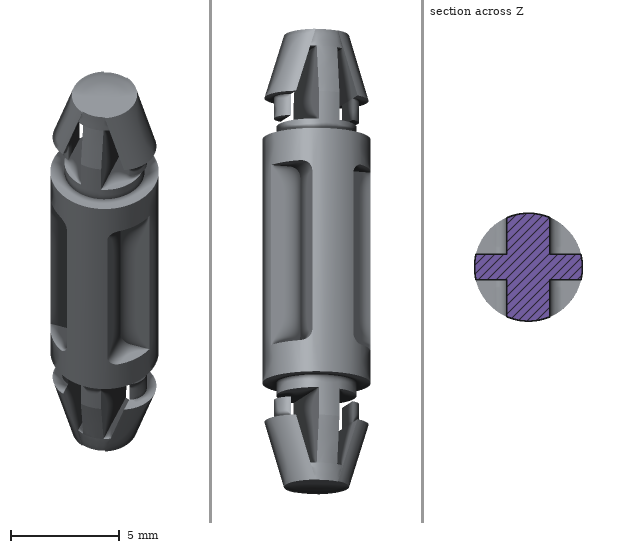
import cadquery as cq


body_diameter = 5.0
body_height = 11.5
pocket_height = 8.5
pocket_corner_radius = 0.5
spine_width_x = 2.0
web_thickness_y = 1.2

collar_diameter = 3.7
collar_height = 0.6
head_tip_diameter = 3.0
head_height = 4.3
barb_height = 3.0
cap_base_diameter = 3.1
cap_height = 0.8
stem_width = 1.0
barb_chord_offset = 0.55
barb_reach = 0.95
barb_width = 2.9

tab_length = 1.0
tab_thickness = 0.53
tab_width = 1.5

body_top = body_height / 2
collar_top = body_top + collar_height
head_tip = collar_top + head_height
barb_foot = head_tip - barb_height
cap_underside = head_tip - cap_height

body_radius = body_diameter / 2
collar_radius = collar_diameter / 2
cap_base_radius = cap_base_diameter / 2
tip_radius = head_tip_diameter / 2


def make_pocket(side_x, side_y):
    """Corner pocket beside the spine and the web, with rounded edges along the spine."""
    pocket = (
        cq.Workplane("XY")
        .box(body_diameter, body_diameter, pocket_height, centered=(False, False, True))
        .edges("|Y and <X")
        .fillet(pocket_corner_radius)
        .translate((spine_width_x / 2, web_thickness_y / 2, 0))
    )
    if side_x < 0:
        pocket = pocket.mirror("YZ")
    if side_y < 0:
        pocket = pocket.mirror("XZ")
    return pocket


def make_body():
    body = cq.Workplane("XY").circle(body_radius).extrude(body_height / 2, both=True)
    for side_x in (-1, 1):
        for side_y in (-1, 1):
            body = body.cut(make_pocket(side_x, side_y))
    return body


def make_core():
    """Collar, flat stem and solid cap, all bounded by one turned outline."""
    turned = (
        cq.Workplane("XZ")
        .moveTo(0, body_top)
        .lineTo(collar_radius, body_top)
        .lineTo(collar_radius, barb_foot)
        .lineTo(cap_base_radius, cap_underside)
        .lineTo(tip_radius, head_tip)
        .lineTo(0, head_tip)
        .close()
        .revolve(360, (0, 0, 0), (0, 1, 0))
    )
    cap_top_half = barb_chord_offset
    cap_bottom_half = barb_chord_offset + barb_reach * cap_height / barb_height
    stem_half = stem_width / 2
    right_side = [
        (collar_radius, body_top),
        (collar_radius, collar_top),
        (stem_half, collar_top),
        (stem_half, cap_underside),
        (cap_bottom_half, cap_underside),
        (cap_top_half, head_tip),
    ]
    left_side = [(-x, z) for x, z in reversed(right_side)]
    front_outline = cq.Workplane("XZ").polyline(right_side + left_side).close()
    return turned.intersect(front_outline.extrude(body_diameter, both=True))


def segment_wire(chord_x, half_chord, crown_x, z):
    """Circular segment with its chord along Y and its crown toward +X."""
    return (
        cq.Workplane("XY", origin=(0, 0, z))
        .moveTo(chord_x, -half_chord)
        .threePointArc((crown_x, 0), (chord_x, half_chord))
        .close()
        .wire()
        .val()
    )


def make_barb():
    """Leaning barb of constant section, with the tab below it, on the +X side."""
    half_chord = barb_width / 2
    foot_chord_x = barb_chord_offset + barb_reach
    foot = segment_wire(foot_chord_x, half_chord, tip_radius + barb_reach, barb_foot)
    tip = segment_wire(barb_chord_offset, half_chord, tip_radius, head_tip)
    barb = cq.Workplane(cq.Solid.makeLoft([foot, tip], True))

    tab_section = segment_wire(foot_chord_x, tab_width / 2, foot_chord_x + tab_thickness, barb_foot)
    tab = cq.Workplane(cq.Solid.extrudeLinear(tab_section, [], cq.Vector(0, 0, -tab_length)))
    return barb.union(tab)


def make_head():
    barb = make_barb()
    return make_core().union(barb).union(barb.mirror("YZ"))


upper_head = make_head()
lower_head = upper_head.mirror("XY")
result = make_body().union(upper_head).union(lower_head)